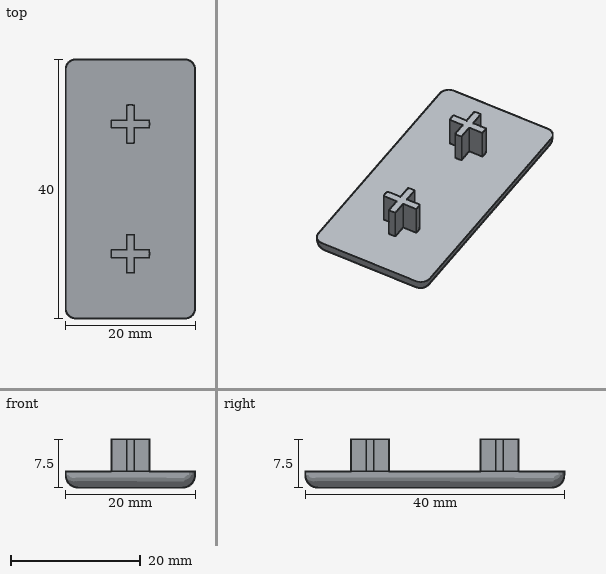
import cadquery as cq

plate_width = 20.0
plate_length = 40.0
plate_thickness = 2.5
corner_radius = 1.6
edge_radius = 2.0

total_height = 7.5
post_diameter = 5.9
post_arm_width = 1.15
post_spacing = 20.0


def make_plate():
    """Rounded rectangle with its lower edge rounded over; the top face is flat."""
    return (
        cq.Workplane("XY")
        .box(plate_width, plate_length, plate_thickness, centered=(True, True, False))
        .edges("|Z")
        .fillet(corner_radius)
        .faces("<Z")
        .edges()
        .fillet(edge_radius)
    )


def make_post(y_center):
    """Plus-shaped post whose arm tips lie on a cylinder, rooted inside the plate."""
    base_z = plate_thickness / 2
    height = total_height - base_z
    base = cq.Workplane("XY", origin=(0, y_center, base_z))
    arm_x = base.rect(post_diameter, post_arm_width).extrude(height)
    arm_y = base.rect(post_arm_width, post_diameter).extrude(height)
    envelope = base.circle(post_diameter / 2).extrude(height)
    return arm_x.union(arm_y).intersect(envelope)


result = make_plate()
for side in (-1, 1):
    result = result.union(make_post(side * post_spacing / 2))